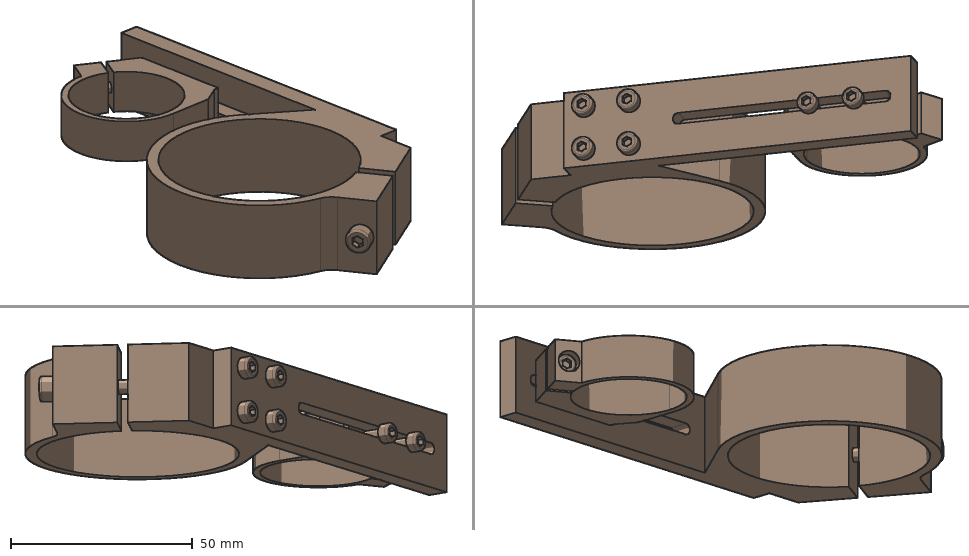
import cadquery as cq
import math


plate_length = 100.1
plate_thickness = 6.0
plate_height = 22.0
mid_height = plate_height / 2
slot_width = 3.2
slot_start = 5.9
slot_end = 68.7

large_x = 87.6
large_y = -35.0
large_bore_radius = 27.8
large_outer_radius = 31.0
large_left_reach = 12.9
large_lug_offset = 38.2
large_lug_length = 19.3
large_gap = 2.9
large_lug_fillet = 6.0

small_x = 22.8
small_y = -21.2
small_height = 12.0
small_bore_radius = 16.0
small_outer_radius = 18.0
small_right_reach = 14.6
small_shoulder_drop = 1.6
small_lug_offset = 23.5
small_lug_length = 8.5
small_gap = 1.5

split_angle = 30.0

large_screw_offset = 33.8
large_screw_diameter = 4.0
large_head_diameter = 7.0
large_head_height = 4.0
large_socket_width = 3.0
small_screw_offset = 19.5
small_screw_diameter = 3.0
small_head_diameter = 5.5
small_head_height = 2.9
small_socket_width = 2.5
small_recess_diameter = 6.0
small_recess_depth = 5.0
thread_reach = 5.3

plate_screw_spacing = 13.0
plate_screw_row_offset = 6.3
fixed_head_diameter = 6.0

head_edge_radius = 0.7
socket_depth_ratio = 0.6


def lug_frame(center_x, center_y, side):
    """Return a mapping from (outward, along) split-line distances to X, Y.

    Side is 1 for a split on the right of the bore and -1 for one on the left.
    """
    cos_split = math.cos(math.radians(split_angle))
    sin_split = math.sin(math.radians(split_angle))

    def place(outward, along):
        x = center_x + side * (outward * cos_split - along * sin_split)
        y = center_y + outward * sin_split + along * cos_split
        return (x, y)

    return place


def screw_axis(side):
    """Direction from a split towards the head of its clamp screw."""
    angle = math.radians(split_angle)
    return (side * math.sin(angle), -math.cos(angle), 0)


def lug_top(center_x, center_y, side, lug_offset):
    """Return the point where the lug's outer face meets the plate face."""
    place = lug_frame(center_x, center_y, side)
    angle = math.radians(split_angle)
    along = (-center_y - lug_offset * math.sin(angle)) / math.cos(angle)
    return place(lug_offset, along)


def prism(points, height):
    """Extrude a closed polygon, centred on the plate's middle height."""
    base = cq.Workplane("XY", origin=(0, 0, mid_height - height / 2))
    return base.polyline(points).close().extrude(height)


def disc(x, y, radius, height):
    """Upright cylinder, centred on the plate's middle height."""
    base = cq.Workplane("XY", origin=(x, y, mid_height - height / 2))
    return base.circle(radius).extrude(height)


def split_cutter(place, lug_offset, gap, height):
    """Block that opens the gap between a clamp's two lugs."""
    corners = [(0, -gap / 2), (lug_offset + gap, -gap / 2), (lug_offset + gap, gap / 2), (0, gap / 2)]
    return prism([place(*corner) for corner in corners], height)


def screw(seat, axis, shank_diameter, shank_length, head_diameter, head_height, socket_width):
    """Socket head screw seated at a point, its head pointing along axis."""
    plane = cq.Plane(origin=seat, xDir=(0, 0, 1), normal=axis)
    head = cq.Workplane(plane).circle(head_diameter / 2).extrude(head_height)
    end_face = cq.selectors.DirectionMinMaxSelector(plane.zDir, True)
    head = head.faces(end_face).edges().fillet(head_edge_radius)
    socket_corner_diameter = socket_width / math.cos(math.pi / 6)
    socket = (
        cq.Workplane(plane)
        .workplane(offset=head_height)
        .polygon(6, socket_corner_diameter)
        .extrude(-socket_depth_ratio * head_height)
    )
    shank = cq.Workplane(plane).circle(shank_diameter / 2).extrude(-shank_length)
    return head.cut(socket).union(shank)


def slotted_plate():
    plate = cq.Workplane("XY").box(plate_length, plate_thickness, plate_height, centered=False)
    slot = (
        cq.Workplane("XZ", origin=((slot_start + slot_end) / 2, 0, mid_height))
        .slot2D(slot_end - slot_start, slot_width)
        .extrude(-plate_thickness)
    )
    return plate.cut(slot)


def large_clamp():
    place = lug_frame(large_x, large_y, 1)
    ring = disc(large_x, large_y, large_outer_radius, plate_height)

    flank_top = (large_x - large_left_reach, 0)
    flank_angle = math.atan2(-large_y, -large_left_reach)
    flank_angle += math.acos(large_outer_radius / math.hypot(large_left_reach, large_y))
    tangent_point = (
        large_x + large_outer_radius * math.cos(flank_angle),
        large_y + large_outer_radius * math.sin(flank_angle),
    )
    lug_bottom_corner = place(large_lug_offset, -large_lug_length)
    lug_root = place(0, -large_lug_length)
    body = prism(
        [
            flank_top,
            lug_top(large_x, large_y, 1, large_lug_offset),
            lug_bottom_corner,
            lug_root,
            tangent_point,
        ],
        plate_height,
    )

    root_outward = math.sqrt(large_outer_radius**2 - large_lug_length**2)
    root = place(root_outward, -large_lug_length)
    root_edge = cq.selectors.NearestToPointSelector((*root, mid_height))
    clamp = ring.union(body).edges(root_edge).fillet(large_lug_fillet)

    clamp = clamp.cut(disc(large_x, large_y, large_bore_radius, plate_height))
    return clamp.cut(split_cutter(place, large_lug_offset, large_gap, plate_height))


def small_clamp():
    place = lug_frame(small_x, small_y, -1)
    ring = disc(small_x, small_y, small_outer_radius, small_height)
    shoulder_run = small_outer_radius - small_right_reach
    shoulder_rise = shoulder_run / math.tan(math.radians(split_angle))
    right_edge = small_x + small_outer_radius
    body = prism(
        [
            lug_top(small_x, small_y, -1, small_lug_offset),
            (small_x + small_right_reach, 0),
            (small_x + small_right_reach, -small_shoulder_drop),
            (right_edge, -small_shoulder_drop - shoulder_rise),
            (right_edge, small_y),
            (small_x, small_y),
            place(0, -small_lug_length),
            place(small_lug_offset, -small_lug_length),
        ],
        small_height,
    )
    clamp = ring.union(body).cut(disc(small_x, small_y, small_bore_radius, small_height))
    clamp = clamp.cut(split_cutter(place, small_lug_offset, small_gap, small_height))

    recess_plane = cq.Plane(
        origin=(*place(small_screw_offset, -small_lug_length), mid_height),
        xDir=(0, 0, 1),
        normal=screw_axis(-1),
    )
    recess = cq.Workplane(recess_plane).circle(small_recess_diameter / 2).extrude(-small_recess_depth)
    return clamp.cut(recess)


def large_clamp_screw():
    seat = lug_frame(large_x, large_y, 1)(large_screw_offset, -large_lug_length)
    return screw(
        (*seat, mid_height),
        screw_axis(1),
        large_screw_diameter,
        large_lug_length + thread_reach,
        large_head_diameter,
        large_head_height,
        large_socket_width,
    )


def small_clamp_screw():
    seat_along = small_recess_depth - small_lug_length
    seat = lug_frame(small_x, small_y, -1)(small_screw_offset, seat_along)
    return screw(
        (*seat, mid_height),
        screw_axis(-1),
        small_screw_diameter,
        thread_reach - seat_along,
        small_head_diameter,
        small_head_height,
        small_socket_width,
    )


def plate_screw(x, z, head_diameter):
    return screw(
        (x, plate_thickness, z),
        (0, 1, 0),
        small_screw_diameter,
        plate_thickness,
        head_diameter,
        small_head_height,
        small_socket_width,
    )


result = slotted_plate().union(large_clamp()).union(small_clamp())
result = result.union(large_clamp_screw()).union(small_clamp_screw())
for x_step in (-plate_screw_spacing / 2, plate_screw_spacing / 2):
    result = result.union(plate_screw(small_x + x_step, mid_height, small_head_diameter))
    for z_step in (-plate_screw_row_offset, plate_screw_row_offset):
        result = result.union(plate_screw(large_x + x_step, mid_height + z_step, fixed_head_diameter))